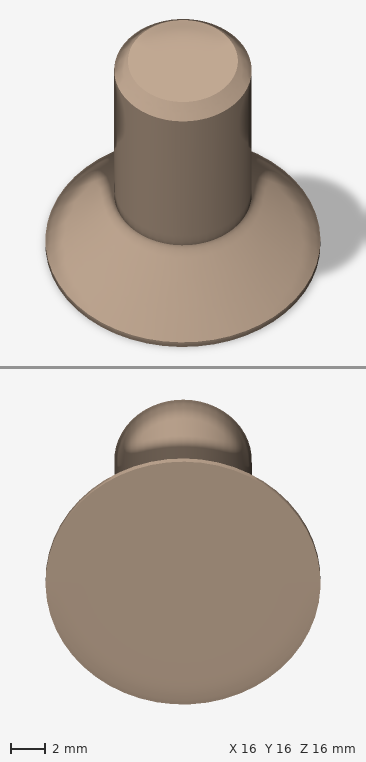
import cadquery as cq

overall_length = 16.0
head_diameter = 16.0
shank_diameter = 8.0
rim_height = 0.4
tip_chamfer = 0.8

head_radius = head_diameter / 2
shank_radius = shank_diameter / 2
cone_height = head_radius - shank_radius
head_height = rim_height + cone_height


def make_head():
    """Short cylindrical rim with a cone narrowing to the shank."""
    half_profile = (
        cq.Workplane("XZ")
        .moveTo(0, 0)
        .lineTo(head_radius, 0)
        .lineTo(head_radius, rim_height)
        .lineTo(shank_radius, head_height)
        .lineTo(0, head_height)
        .close()
    )
    return half_profile.revolve(360, (0, 0, 0), (0, 1, 0))


def make_shank():
    """Plain cylinder above the head, chamfered at its free end."""
    return (
        cq.Workplane("XY")
        .workplane(offset=head_height)
        .circle(shank_radius)
        .extrude(overall_length - head_height)
        .faces(">Z")
        .chamfer(tip_chamfer)
    )


result = make_head().union(make_shank())